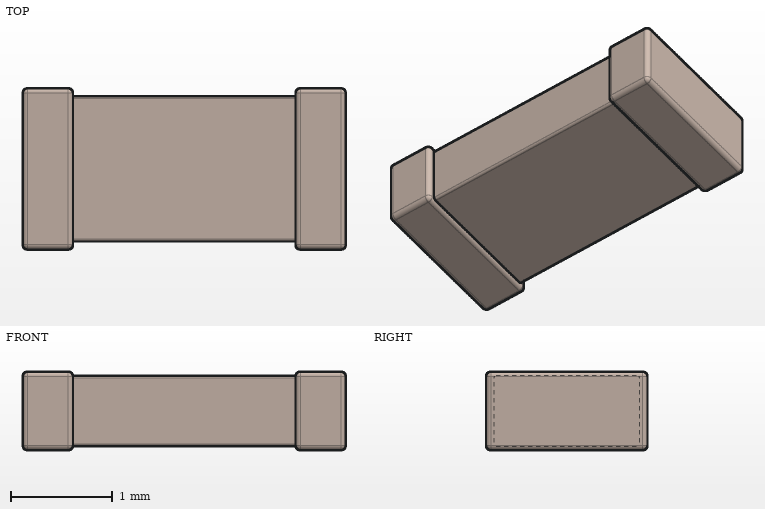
import cadquery as cq

length = 3.2
width = 1.6
height = 0.78

cap_length = 0.5
cap_fillet = 0.05

body_side_inset = 0.08
body_top_inset = 0.04
body_width = width - 2 * body_side_inset
body_height = height - 2 * body_top_inset
body_fillet = cap_fillet / 2

cap_center_x = (length - cap_length) / 2
body_length = 2 * cap_center_x
center_z = height / 2


def make_body():
    """Central block with its four long edges rounded."""
    block = cq.Workplane("XY").box(body_length, body_width, body_height)
    return block.edges("|X").fillet(body_fillet).translate((0, 0, center_z))


def make_cap(center_x):
    """End cap with every edge rounded."""
    block = cq.Workplane("XY").box(cap_length, width, height)
    return block.edges().fillet(cap_fillet).translate((center_x, 0, center_z))


result = make_body()
for side in (-1, 1):
    result = result.union(make_cap(side * cap_center_x))